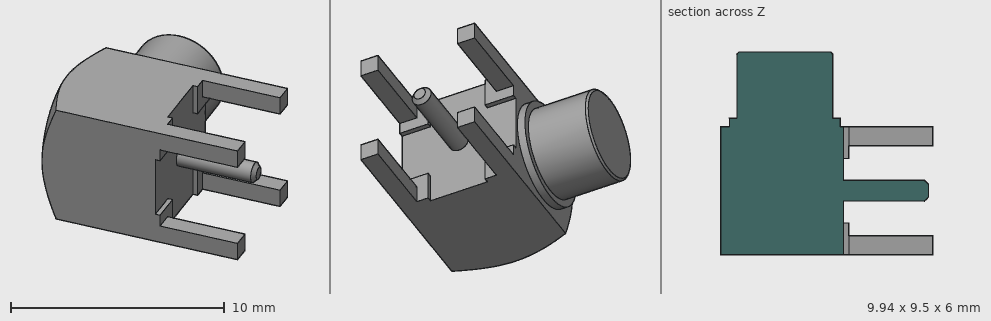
import cadquery as cq
import math

length = 9.94
body = 6.0
centre = body / 2
corner_cone_angle = 30.0

leg_width = 0.9
slot_width = 3.0
slot_depth = 0.24
pin_diameter = 0.99
pin_tip = 9.74
pin_chamfer = 0.2

total_depth = 9.5
flange_diameter = 5.21
flange_thickness = 0.4
barrel_diameter = 4.5
barrel_chamfer = 0.1


def make_body():
    """Cube whose four front corners are cut by a cone around the X axis."""
    cube = cq.Workplane("XY").box(body, body, body, centered=False)
    outer_radius = body
    cone_depth = (outer_radius - centre) * math.tan(math.radians(corner_cone_angle))
    cone = (
        cq.Workplane("XY")
        .polyline([(0, 0), (0, centre), (cone_depth, outer_radius), (body, outer_radius), (body, 0)])
        .close()
        .revolve(360, (0, 0, 0), (1, 0, 0))
        .translate((0, centre, centre))
    )
    return cube.intersect(cone)


def cut_cross_slots(solid):
    """Shallow crossed slots leave a square standoff at each rear corner."""
    for width_y, width_z in ((slot_width, body), (body, slot_width)):
        slot = cq.Workplane("XY").box(slot_depth, width_y, width_z)
        solid = solid.cut(slot.translate((body - slot_depth / 2, centre, centre)))
    return solid


def add_legs(solid):
    """Square leg flush with each corner of the housing."""
    far_side = body - leg_width
    leg_start = body - slot_depth
    for y in (0, far_side):
        for z in (0, far_side):
            leg = cq.Workplane("XY").box(length - leg_start, leg_width, leg_width, centered=False)
            solid = solid.union(leg.translate((leg_start, y, z)))
    return solid


def make_pin():
    pin = cq.Workplane("YZ", origin=(centre, centre, centre)).circle(pin_diameter / 2)
    return pin.extrude(pin_tip - centre).faces(">X").chamfer(pin_chamfer)


def make_barrel():
    """Flange on the +Y face with the chamfered barrel standing on it."""
    base = cq.Workplane("XZ", origin=(centre, centre, centre))
    flange = base.circle(flange_diameter / 2).extrude(-(body + flange_thickness - centre))
    barrel = base.circle(barrel_diameter / 2).extrude(-(total_depth - centre))
    return flange.union(barrel.faces(">Y").chamfer(barrel_chamfer))


housing = add_legs(cut_cross_slots(make_body()))
result = housing.union(make_pin()).union(make_barrel())